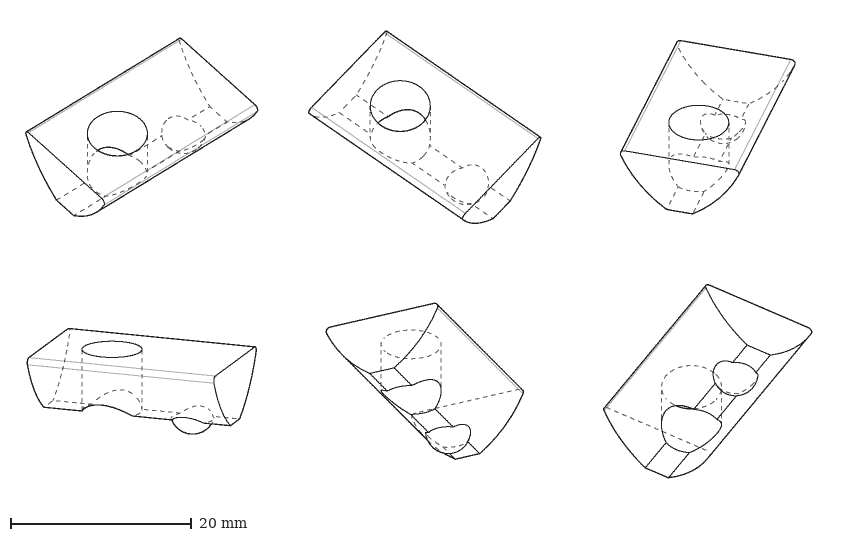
import cadquery as cq
import math

length = 22.0
width = 13.7
height = 7.0
bottom_flat_width = 3.0

edge_radius = 0.5
flank_start_angle = math.radians(24.2)

hole_diameter = 6.65
hole_y = -3.5

ball_diameter = 5.0
ball_protrusion = 1.75
ball_y = 6.0


def flank_arc(start, end, outward):
    """Return the midpoint of the arc that leaves start square to the outward direction and reaches end."""
    chord_x = end[0] - start[0]
    chord_z = end[1] - start[1]
    inward_reach = -(chord_x * outward[0] + chord_z * outward[1])
    radius = (chord_x**2 + chord_z**2) / (2 * inward_reach)
    center_x = start[0] - radius * outward[0]
    center_z = start[1] - radius * outward[1]
    start_angle = math.atan2(start[1] - center_z, start[0] - center_x)
    end_angle = math.atan2(end[1] - center_z, end[0] - center_x)
    middle_angle = (start_angle + end_angle) / 2
    return (
        center_x + radius * math.cos(middle_angle),
        center_z + radius * math.sin(middle_angle),
    )


def mirrored(point):
    """Return the matching point on the other side of the body."""
    return (-point[0], point[1])


def make_body():
    """Extrude the end profile along Y, with its flat top at Z = 0."""
    edge_center_x = width / 2 - edge_radius
    top_corner = (edge_center_x, 0)
    edge_side = (width / 2, -edge_radius)
    outward = (math.cos(flank_start_angle), -math.sin(flank_start_angle))
    flank_top = (
        edge_center_x + edge_radius * outward[0],
        -edge_radius + edge_radius * outward[1],
    )
    flank_bottom = (bottom_flat_width / 2, -height)
    flank_middle = flank_arc(flank_top, flank_bottom, outward)

    return (
        cq.Workplane("XZ")
        .moveTo(*mirrored(top_corner))
        .lineTo(*top_corner)
        .threePointArc(edge_side, flank_top)
        .threePointArc(flank_middle, flank_bottom)
        .lineTo(*mirrored(flank_bottom))
        .threePointArc(mirrored(flank_middle), mirrored(flank_top))
        .threePointArc(mirrored(edge_side), mirrored(top_corner))
        .close()
        .extrude(length / 2, both=True)
    )


def make_hole():
    """Cylinder that cuts the full height of the body."""
    return (
        cq.Workplane("XY")
        .center(0, hole_y)
        .circle(hole_diameter / 2)
        .extrude(-height)
    )


def make_ball():
    """Ball set into the underside so that it stands proud of the bottom flat."""
    ball_z = -height - ball_protrusion + ball_diameter / 2
    return cq.Workplane("XY").sphere(ball_diameter / 2).translate((0, ball_y, ball_z))


result = make_body().cut(make_hole()).union(make_ball())